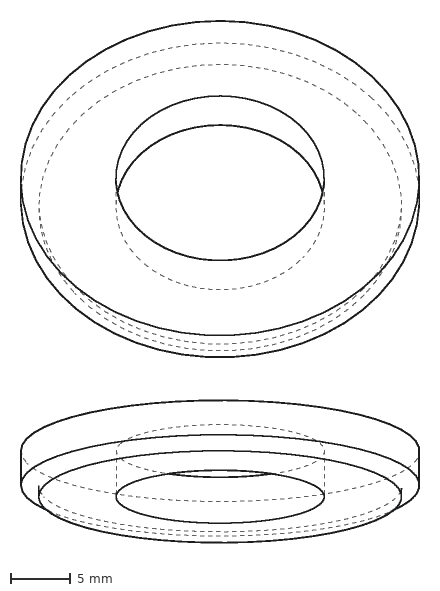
import cadquery as cq

flange_diameter = 33.5
spigot_diameter = 30.5
bore_diameter = 17.5
total_height = 4.0
spigot_height = 1.0
flange_height = total_height - spigot_height
corner_fillet_radius = 0.1


def make_spigot():
    """Lower disc, standing on the XY plane."""
    return cq.Workplane("XY").circle(spigot_diameter / 2).extrude(spigot_height)


def make_flange():
    """Wider disc on top of the spigot."""
    return (
        cq.Workplane("XY")
        .workplane(offset=spigot_height)
        .circle(flange_diameter / 2)
        .extrude(flange_height)
    )


def make_bore():
    """Straight through hole on the part axis."""
    return cq.Workplane("XY").circle(bore_diameter / 2).extrude(total_height)


def fillet_inner_corner(body):
    """Round the inner corner where the spigot meets the underside of the flange."""
    spigot_edge = cq.selectors.RadiusNthSelector(0)
    return body.faces("<Z[1]").edges(spigot_edge).fillet(corner_fillet_radius)


stepped_disc = fillet_inner_corner(make_spigot().union(make_flange()))
result = stepped_disc.cut(make_bore())